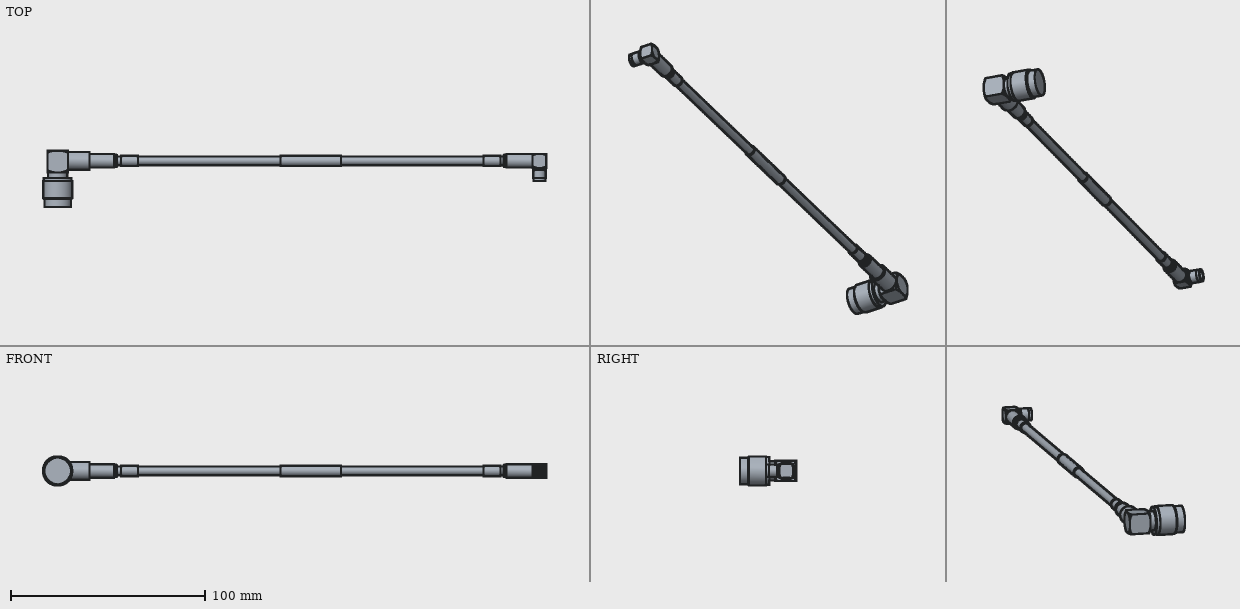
import cadquery as cq


CABLE_DIA = 4.6
CABLE_START_X = 16.4
CABLE_END_X = 238.0
CABLE_MIDDLE_X = 130.3
SLEEVE_DIA = 5.5
END_SLEEVE_OFFSET = 93.3
END_SLEEVE_LENGTH = 8.6
LABEL_SLEEVE_LENGTH = 31.2

BLOCK_SIZE = 10.5
BLOCK_FRONT_Y = -5.9
COLLAR_DIA = 9.2
CRIMP_DIA = 7.1
CRIMP_END_X = 30.6
NECK_DIA = 10.0
NECK_END_Y = -10.7

NUT_DIA = 15.1
NUT_RING_DIA = 14.5
NUT_LIP_DIA = 13.8
NUT_BACK_Y = -8.7
NUT_RING_END_Y = -10.5
NUT_SHOULDER_Y = -19.1
NUT_LIP_START_Y = -19.7
NUT_FRONT_Y = -23.85

SMALL_BLOCK_SIZE = 7.2
SMALL_END_X = 251.6
SMALL_BODY_DIA = 7.1
SMALL_BODY_START_X = 229.5
PLUG_DIA = 6.5
PLUG_FRONT_Y = -10.5
PLUG_GROOVE_DIA = 5.6
PLUG_GROOVE_START_Y = -4.1
PLUG_GROOVE_WIDTH = 0.7
PLUG_RIM_WIDTH = 1.6
PLUG_RIM_DIA = 6.4
SOCKET_DIA = 4.6
SOCKET_DEPTH = 4.0
INSULATOR_DIA = 3.4
INSULATOR_LENGTH = 1.0
CONTACT_DIA = 1.3
CONTACT_LENGTH = 3.0

BLOCK_CONE_LENGTH_RATIO = 0.09
BLOCK_CONE_DEPTH_RATIO = 0.17

CABLE_END_STEP_DEPTH = 0.3
CABLE_END_STEP_LENGTH = 1.5
CABLE_END_BEVEL = 0.5


def rod_x(start_x, end_x, diameter):
    """Round bar along the cable axis."""
    return cq.Workplane("YZ", origin=(start_x, 0, 0)).circle(diameter / 2).extrude(end_x - start_x)


def rod_y(x, back_y, front_y, diameter):
    """Round bar along -Y, at the given X."""
    return cq.Workplane("XZ", origin=(x, back_y, 0)).circle(diameter / 2).extrude(back_y - front_y)


def turned_y(x, profile):
    """Solid turned about a Y axis at the given X, from (radius, y) points between its two ends."""
    points = [(0, profile[0][1]), *profile, (0, profile[-1][1])]
    outline = cq.Workplane("XY", origin=(x, 0, 0)).polyline(points).close()
    return outline.revolve(360, (0, 0, 0), (0, 1, 0))


def make_sleeve(start_x, length):
    """Tube fitted over the cable."""
    outside = rod_x(start_x, start_x + length, SLEEVE_DIA)
    return outside.cut(rod_x(start_x, start_x + length, CABLE_DIA))


def make_block(x, size, front_y):
    """Square block whose corners are cut by a cone at its back and its front."""
    back_y = size / 2
    corner_radius = size / 2**0.5
    end_radius = corner_radius - BLOCK_CONE_DEPTH_RATIO * size
    cone_length = BLOCK_CONE_LENGTH_RATIO * size
    cone = turned_y(
        x,
        [
            (end_radius, back_y),
            (corner_radius, back_y - cone_length),
            (corner_radius, front_y + cone_length),
            (end_radius, front_y),
        ],
    )
    square = cq.Workplane("XZ", origin=(x, back_y, 0)).rect(size, size).extrude(back_y - front_y)
    return square.intersect(cone)


def make_cable_end(block_x, end_x, diameter):
    """Barrel from a block to end_x, stepped down and bevelled where the cable enters."""
    toward_block = 1 if block_x > end_x else -1
    step_x = end_x + toward_block * CABLE_END_STEP_LENGTH
    step_dia = diameter - 2 * CABLE_END_STEP_DEPTH
    step = rod_x(step_x, end_x, step_dia)
    end_face = "<X" if toward_block > 0 else ">X"
    step = step.faces(end_face).chamfer(CABLE_END_BEVEL)
    return rod_x(block_x, step_x, diameter).union(step)


def make_large_connector():
    body = make_block(0, BLOCK_SIZE, BLOCK_FRONT_Y)
    body = body.union(rod_x(0, CABLE_START_X, COLLAR_DIA))
    body = body.union(make_cable_end(0, CRIMP_END_X, CRIMP_DIA))
    body = body.union(rod_y(0, 0, NECK_END_Y, NECK_DIA))
    return body.cut(rod_x(CABLE_START_X, CRIMP_END_X, CABLE_DIA))


def make_coupling_nut():
    nut = turned_y(
        0,
        [
            (NUT_RING_DIA / 2, NUT_BACK_Y),
            (NUT_RING_DIA / 2, NUT_RING_END_Y),
            (NUT_DIA / 2, NUT_RING_END_Y),
            (NUT_DIA / 2, NUT_SHOULDER_Y),
            (NUT_LIP_DIA / 2, NUT_LIP_START_Y),
            (NUT_LIP_DIA / 2, NUT_FRONT_Y),
        ],
    )
    return nut.cut(rod_y(0, NUT_BACK_Y, NECK_END_Y, NECK_DIA))


def make_small_plug(x):
    rim_y = PLUG_FRONT_Y + PLUG_RIM_WIDTH
    groove_end_y = PLUG_GROOVE_START_Y - PLUG_GROOVE_WIDTH
    plug = turned_y(
        x,
        [
            (PLUG_DIA / 2, 0),
            (PLUG_DIA / 2, PLUG_GROOVE_START_Y),
            (PLUG_GROOVE_DIA / 2, PLUG_GROOVE_START_Y),
            (PLUG_GROOVE_DIA / 2, groove_end_y),
            (PLUG_DIA / 2, groove_end_y),
            (PLUG_DIA / 2, rim_y),
            (PLUG_RIM_DIA / 2, rim_y),
            (PLUG_RIM_DIA / 2, PLUG_FRONT_Y),
        ],
    )
    floor_y = PLUG_FRONT_Y + SOCKET_DEPTH
    plug = plug.cut(rod_y(x, floor_y, PLUG_FRONT_Y, SOCKET_DIA))
    plug = plug.union(rod_y(x, floor_y, floor_y - INSULATOR_LENGTH, INSULATOR_DIA))
    return plug.union(rod_y(x, floor_y, floor_y - CONTACT_LENGTH, CONTACT_DIA))


def make_small_connector():
    plug_x = SMALL_END_X - SMALL_BLOCK_SIZE / 2
    body = make_block(plug_x, SMALL_BLOCK_SIZE, -SMALL_BLOCK_SIZE / 2)
    body = body.union(make_cable_end(plug_x, SMALL_BODY_START_X, SMALL_BODY_DIA))
    body = body.union(make_small_plug(plug_x))
    return body.cut(rod_x(SMALL_BODY_START_X, CABLE_END_X, CABLE_DIA))


cable = rod_x(CABLE_START_X, CABLE_END_X, CABLE_DIA)
end_sleeves = []
for sleeve_middle_x in (CABLE_MIDDLE_X - END_SLEEVE_OFFSET, CABLE_MIDDLE_X + END_SLEEVE_OFFSET):
    end_sleeves.append(make_sleeve(sleeve_middle_x - END_SLEEVE_LENGTH / 2, END_SLEEVE_LENGTH))
label_sleeve = make_sleeve(CABLE_MIDDLE_X - LABEL_SLEEVE_LENGTH / 2, LABEL_SLEEVE_LENGTH)
large_connector = make_large_connector()
coupling_nut = make_coupling_nut()
small_connector = make_small_connector()

result = cq.Compound.makeCompound(
    [
        cable.val(),
        *[sleeve.val() for sleeve in end_sleeves],
        label_sleeve.val(),
        large_connector.val(),
        coupling_nut.val(),
        small_connector.val(),
    ]
)